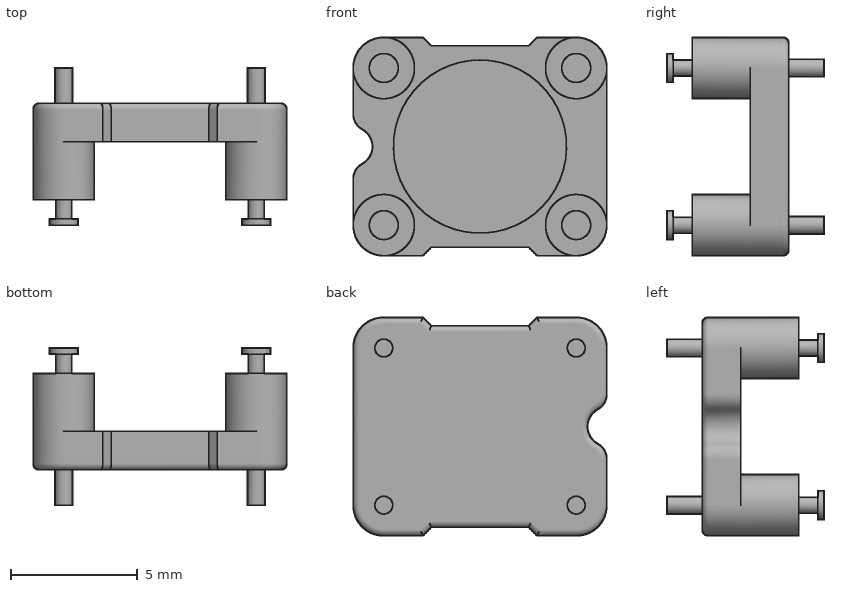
import cadquery as cq
import math

width = 10.03
height = 8.64
plate_thickness = 1.53
back_edge_radius = 0.25

post_radius = 1.21
post_length = 3.82
post_x = width / 2 - post_radius
post_z = height / 2 - post_radius
post_centers = [(x, z) for x in (-post_x, post_x) for z in (-post_z, post_z)]

front_pin_radius = 0.32
front_pin_reach = 1.0
head_radius = 0.57
head_thickness = 0.25
back_pin_radius = 0.35
back_pin_length = 1.39

pocket_radius = 3.42
pocket_depth = 0.8

recess_depth = 0.33
recess_floor_length = 3.85

notch_depth = 0.76
notch_concave_radius = 0.77
notch_convex_radius = 0.69


def rod(x, z, radius, y_start, y_end):
    """Solid cylinder along Y from y_start to the larger y_end."""
    base = cq.Vector(x, y_start, z)
    axis = cq.Vector(0, 1, 0)
    return cq.Workplane("XY").add(cq.Solid.makeCylinder(radius, y_end - y_start, base, axis))


def front_prism(outline):
    """Extrude a closed XZ outline through the plate thickness."""
    return outline.close().extrude(plate_thickness)


def edge_recess(side):
    """Cutter for the top (side = 1) or bottom (side = -1) edge recess."""
    floor_half = recess_floor_length / 2
    mouth_half = floor_half + recess_depth
    edge_z = side * height / 2
    floor_z = edge_z - side * recess_depth
    return front_prism(
        cq.Workplane("XZ")
        .moveTo(-mouth_half, edge_z)
        .lineTo(-floor_half, floor_z)
        .lineTo(floor_half, floor_z)
        .lineTo(mouth_half, edge_z)
    )


def side_notch():
    """Cutter for the notch; its arcs are tangent to each other and to the edge."""
    edge_x = -width / 2
    center_distance = notch_concave_radius + notch_convex_radius
    arc_angle = math.acos(1 - notch_depth / center_distance)
    half_length = center_distance * math.sin(arc_angle)
    meet_x = edge_x + notch_convex_radius * (1 - math.cos(arc_angle))
    meet_z = notch_concave_radius * math.sin(arc_angle)
    convex_mid_x = edge_x + notch_convex_radius * (1 - math.cos(arc_angle / 2))
    convex_mid_z = half_length - notch_convex_radius * math.sin(arc_angle / 2)
    return front_prism(
        cq.Workplane("XZ")
        .moveTo(edge_x, half_length)
        .threePointArc((convex_mid_x, convex_mid_z), (meet_x, meet_z))
        .threePointArc((edge_x + notch_depth, 0), (meet_x, -meet_z))
        .threePointArc((convex_mid_x, -convex_mid_z), (edge_x, -half_length))
    )


def make_body():
    """Plate with the posts forming its round corners."""
    body = cq.Workplane("XZ").rect(width, height).extrude(plate_thickness)
    body = body.edges("|Y").chamfer(post_radius)
    for side in (-1, 1):
        body = body.cut(edge_recess(side))
    body = body.cut(side_notch())
    for x, z in post_centers:
        body = body.union(rod(x, z, post_radius, -post_length, 0))
    body = body.faces(">Y").edges().fillet(back_edge_radius)
    pocket = rod(0, 0, pocket_radius, -plate_thickness, pocket_depth - plate_thickness)
    return body.cut(pocket)


def add_pins(body, x, z):
    """Join a headed pin to the front of a post and a plain pin to the back of the plate."""
    pin_end = -post_length - front_pin_reach
    head_back = pin_end + head_thickness
    head = rod(x, z, head_radius, pin_end, head_back)
    front_pin = rod(x, z, front_pin_radius, head_back, -post_length)
    back_pin = rod(x, z, back_pin_radius, 0, back_pin_length)
    return body.union(front_pin).union(head).union(back_pin)


result = make_body()
for x, z in post_centers:
    result = add_pins(result, x, z)